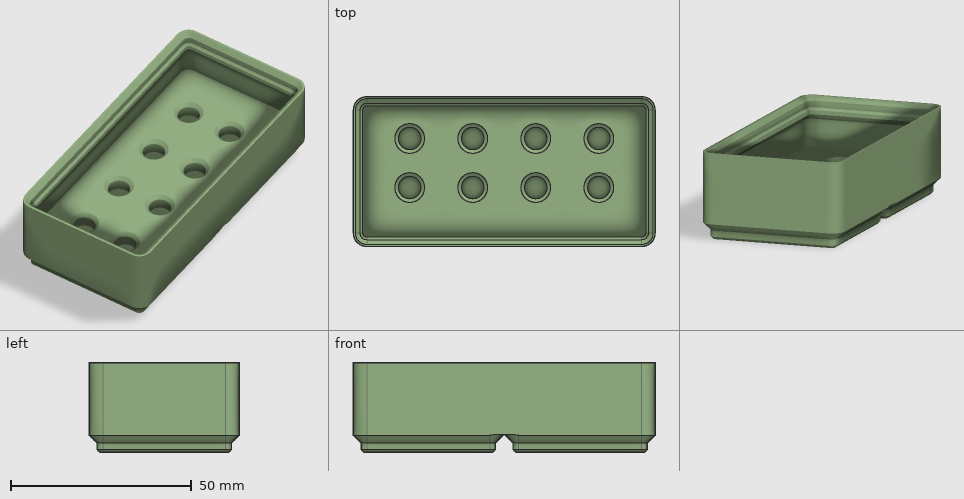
import cadquery as cq

pitch = 42.0
cells = 2
fit_gap = 0.5
body_length = cells * pitch - fit_gap
body_width = pitch - fit_gap
height = 24.8
corner_radius = 3.75
chamfer_angle = 45.0

foot_lower_chamfer = 0.8
foot_straight = 1.8
foot_upper_chamfer = 2.4
foot_height = foot_lower_chamfer + foot_straight + foot_upper_chamfer
cell_corner_radius = corner_radius + fit_gap / 2

rim_width = 0.6
lip_upper_chamfer = 1.3
lip_straight = 1.8
lip_lower_chamfer = 0.7
lip_straight_inset = rim_width + lip_upper_chamfer
lip_inset = lip_straight_inset + lip_lower_chamfer
lip_straight_top = height - lip_upper_chamfer
lip_straight_bottom = lip_straight_top - lip_straight
lip_bottom = lip_straight_bottom - lip_lower_chamfer

wall_thickness = 1.0
lip_edge_height = 1.2
floor_top = 10.34
slope_top = lip_bottom - lip_edge_height
slope_bottom = slope_top - (lip_inset - wall_thickness)

hole_diameter = 6.21
hole_chamfer = 1.0
hole_depth = 4.1
hole_columns = 4
hole_rows = 2
hole_pitch_x = 17.43
hole_pitch_y = 13.56
hole_field_y = 2.37


def rounded_block(length, width, radius, bottom, top, taper=0):
    """Block on the given rounded outline at its bottom; positive taper degrees narrow it upward."""
    outline = cq.Sketch().rect(length, width).vertices().fillet(radius)
    base = cq.Workplane("XY").workplane(offset=bottom).placeSketch(outline)
    return base.extrude(top - bottom, taper=taper)


def tapered_block(length, width, radius, bottom, top):
    """Block that has the given outline at its bottom and narrows upward at 45 degrees."""
    return rounded_block(length, width, radius, bottom, top, taper=chamfer_angle)


def flared_block(length, width, radius, bottom, top):
    """Block that has the given outline at its top and narrows downward at 45 degrees."""
    spread = top - bottom
    return rounded_block(
        length - 2 * spread, width - 2 * spread, radius - spread, bottom, top, taper=-chamfer_angle
    )


def body_outline(inset):
    """Length, width and corner radius of the body outline moved inward by the inset."""
    return body_length - 2 * inset, body_width - 2 * inset, corner_radius - inset


def cell_outline(inset):
    """Length, width and corner radius of one cell outline moved inward by the inset."""
    return pitch - 2 * inset, pitch - 2 * inset, cell_corner_radius - inset


def make_foot():
    """Foot of one cell, reaching the full cell size where it meets the body."""
    straight_bottom = foot_lower_chamfer
    straight_top = straight_bottom + foot_straight
    straight_outline = cell_outline(foot_upper_chamfer)
    tip = flared_block(*straight_outline, 0, straight_bottom)
    straight = rounded_block(*straight_outline, straight_bottom, straight_top)
    flare = flared_block(*cell_outline(0), straight_top, foot_height)
    return tip.union(straight).union(flare)


def make_body():
    """Solid body on its row of feet, with the feet trimmed to the body outline."""
    body = rounded_block(*body_outline(0), foot_height, height)
    foot = make_foot()
    for cell in range(cells):
        cell_x = (cell - (cells - 1) / 2) * pitch
        body = body.union(foot.translate((cell_x, 0, 0)))
    return body.intersect(rounded_block(*body_outline(0), 0, height))


def make_cavity():
    """Tray space above the floor, narrowing under the lip and widening through it to the rim."""
    tray = rounded_block(*body_outline(wall_thickness), floor_top, slope_bottom)
    slope = tapered_block(*body_outline(wall_thickness), slope_bottom, slope_top)
    edge = rounded_block(*body_outline(lip_inset), slope_top, lip_bottom)
    lower = flared_block(*body_outline(lip_straight_inset), lip_bottom, lip_straight_bottom)
    straight = rounded_block(*body_outline(lip_straight_inset), lip_straight_bottom, lip_straight_top)
    upper = flared_block(*body_outline(rim_width), lip_straight_top, height)
    return tray.union(slope).union(edge).union(lower).union(straight).union(upper)


def make_holes():
    """Grid of round pockets with a chamfered mouth at the floor."""
    mouth_diameter = hole_diameter + 2 * hole_chamfer
    field = (
        cq.Workplane("XY")
        .workplane(offset=floor_top)
        .center(0, hole_field_y)
        .rarray(hole_pitch_x, hole_pitch_y, hole_columns, hole_rows)
    )
    bores = field.circle(hole_diameter / 2).extrude(-hole_depth)
    mouths = field.circle(mouth_diameter / 2).extrude(-hole_chamfer, taper=chamfer_angle)
    return bores.union(mouths)


result = make_body().cut(make_cavity()).cut(make_holes())